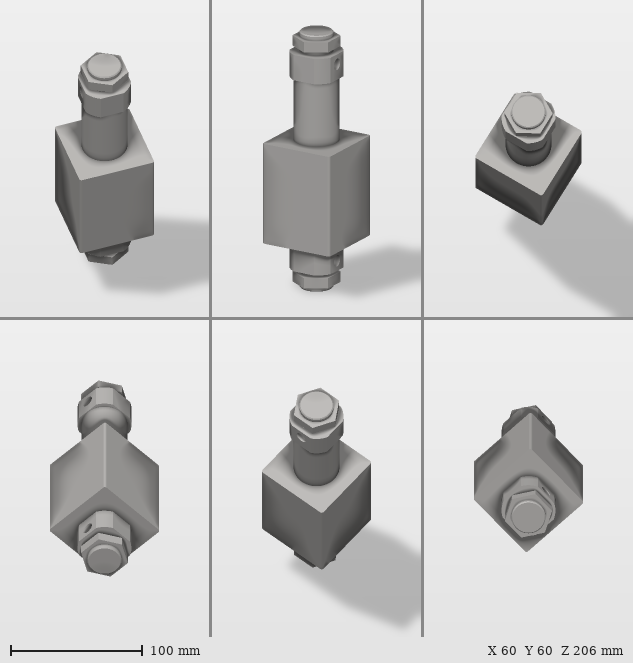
import cadquery as cq
import math

TOTAL_LENGTH = 206.0
CARRIAGE_WIDTH = 60.0
CARRIAGE_BOTTOM = 38.1
CARRIAGE_LENGTH = 80.3
CARRIAGE_CORNER_RADIUS = 1.9

TUBE_DIAMETER = 35.0
THREAD_DIAMETER = 26.0
THREAD_CHAMFER = 0.8

NUT_OFFSET = 4.0
NUT_THICKNESS = 8.2
NUT_ACROSS_FLATS = 32.0
NUT_ACROSS_CORNERS = NUT_ACROSS_FLATS / math.cos(math.pi / 6)

CAP_OFFSET = 15.9
CAP_LENGTH = 20.4
CAP_ACROSS_FLATS = 36.7
CAP_DIAMETER = 41.0
PORT_OFFSET = 23.9
PORT_DIAMETER = 9.0
PORT_DEPTH = 8.2


def end_fitting():
    """Thread, nut and ported cap of the lower end, which starts at Z = 0."""
    cap_inner_end = CAP_OFFSET + CAP_LENGTH
    thread = (
        cq.Workplane("XY")
        .circle(THREAD_DIAMETER / 2)
        .extrude(cap_inner_end)
        .faces("<Z")
        .chamfer(THREAD_CHAMFER)
    )
    nut = (
        cq.Workplane("XY", origin=(0, 0, NUT_OFFSET))
        .polygon(6, NUT_ACROSS_CORNERS)
        .extrude(NUT_THICKNESS)
    )
    cap_plane = cq.Workplane("XY", origin=(0, 0, CAP_OFFSET))
    cap_blank = cap_plane.circle(CAP_DIAMETER / 2).extrude(CAP_LENGTH)
    flats = cap_plane.rect(CAP_ACROSS_FLATS, CAP_ACROSS_FLATS).extrude(CAP_LENGTH)
    cap = cap_blank.intersect(flats)
    port = (
        cq.Workplane("XZ", origin=(0, -CAP_ACROSS_FLATS / 2, PORT_OFFSET))
        .circle(PORT_DIAMETER / 2)
        .extrude(-PORT_DEPTH)
    )
    return thread.union(nut).union(cap).cut(port)


def make_cylinder():
    """Tube with a mirrored fitting at each end, all one solid."""
    tube_length = TOTAL_LENGTH - 2 * CAP_OFFSET
    tube = (
        cq.Workplane("XY", origin=(0, 0, CAP_OFFSET + CAP_LENGTH))
        .circle(TUBE_DIAMETER / 2)
        .extrude(tube_length - 2 * CAP_LENGTH)
    )
    lower_fitting = end_fitting()
    upper_fitting = lower_fitting.mirror("XY", (0, 0, TOTAL_LENGTH / 2))
    return tube.union(lower_fitting).union(upper_fitting)


def make_carriage():
    """Square block with rounded upright edges, bored to ride on the tube."""
    return (
        cq.Workplane("XY", origin=(0, 0, CARRIAGE_BOTTOM))
        .rect(CARRIAGE_WIDTH, CARRIAGE_WIDTH)
        .extrude(CARRIAGE_LENGTH)
        .edges("|Z")
        .fillet(CARRIAGE_CORNER_RADIUS)
        .faces(">Z")
        .workplane()
        .hole(TUBE_DIAMETER)
    )


cylinder = make_cylinder()
carriage = make_carriage()

result = cq.Compound.makeCompound([cylinder.val(), carriage.val()])